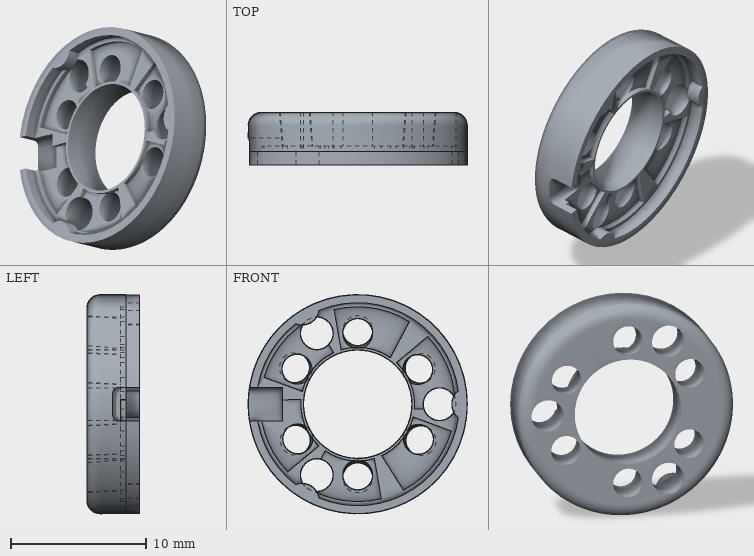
import cadquery as cq
import math

outer_radius = 8.1
bore_radius = 4.0
total_depth = 3.9
rim_depth = 1.0
back_fillet = 1.0

rim_inner_radius = 7.5
lobe_radius = 1.25
lobe_center_radius = 8.2
lobe_angles = [0, 120, 240]

pocket_depth = 0.4
pocket_floor = rim_depth + pocket_depth
pocket_inner_radius = 4.2
pocket_outer_radius = 7.2
pocket_count = 6
pocket_mid_angle = 21
pocket_inner_half_angle = 26
pocket_outer_half_angle = 23

lobe_hole_diameter = 2.4
lobe_hole_center_radius = 6.05

slanted_hole_diameter = 2.2
slanted_hole_lean = 5
slanted_hole_center_radii = {30: 5.11, 90: 5.22, 150: 5.18}

slot_width = 2.5
slot_depth = 2.0
slot_corner_radius = 0.5
slot_end_radius = 5.57

clearance = 1.0


def front_plane(y):
    """Workplane at depth y with local x along X and local y along Z."""
    return cq.Workplane("XZ", origin=(0, y, 0))


def polar(radius, angle):
    """Point at a radius and an angle (degrees) measured from +X towards +Z."""
    return (radius * math.cos(math.radians(angle)), radius * math.sin(math.radians(angle)))


def disc(radius, start, end):
    """Solid cylinder on the Y axis between two depths."""
    return front_plane(start).circle(radius).extrude(start - end)


def make_slot():
    """Slot cutter with two rounded edges along its floor."""
    length = outer_radius + clearance - slot_end_radius
    depth = slot_depth + clearance
    block = cq.Workplane("XY").box(length, depth, slot_width)
    block = block.edges("|X and >Y").fillet(slot_corner_radius)
    return block.translate((-slot_end_radius - length / 2, slot_depth - depth / 2, 0))


def make_pocket(mid_angle):
    """Sector pocket cutter that spans a wider angle at its inner edge than at its outer edge."""
    inner_start = polar(pocket_inner_radius, mid_angle - pocket_inner_half_angle)
    inner_mid = polar(pocket_inner_radius, mid_angle)
    inner_end = polar(pocket_inner_radius, mid_angle + pocket_inner_half_angle)
    outer_start = polar(pocket_outer_radius, mid_angle - pocket_outer_half_angle)
    outer_mid = polar(pocket_outer_radius, mid_angle)
    outer_end = polar(pocket_outer_radius, mid_angle + pocket_outer_half_angle)
    outline = (
        front_plane(rim_depth)
        .moveTo(*inner_start)
        .lineTo(*outer_start)
        .threePointArc(outer_mid, outer_end)
        .lineTo(*inner_end)
        .threePointArc(inner_mid, inner_start)
        .close()
    )
    return outline.extrude(-pocket_depth)


def make_slanted_hole(center_radius, angle):
    """Leaning hole cutter that starts at the pocket floor, beneath the lip around the bore."""
    lean = math.radians(slanted_hole_lean)
    axis = cq.Vector(math.sin(lean), math.cos(lean), 0)
    floor_center = cq.Vector(center_radius, pocket_floor, 0)
    drill = cq.Solid.makeCylinder(
        slanted_hole_diameter / 2,
        total_depth + 2 * clearance,
        floor_center - axis * clearance,
        axis,
    )
    below_floor = disc(outer_radius, pocket_floor, total_depth + clearance)
    return below_floor.intersect(cq.Workplane(drill)).rotate((0, 0, 0), (0, 1, 0), -angle)


def make_rim():
    """Front ring with three rounded lobes and the slot gap."""
    envelope = disc(outer_radius, 0, rim_depth)
    rim = envelope.cut(disc(rim_inner_radius, 0, rim_depth))
    for angle in lobe_angles:
        center = polar(lobe_center_radius, angle)
        lobe = front_plane(0).center(*center).circle(lobe_radius).extrude(-rim_depth)
        rim = rim.union(lobe.intersect(envelope))
    return rim.cut(make_slot())


def make_housing():
    """Thick annular body with a rounded back, pockets, holes and the slot."""
    housing = disc(outer_radius, rim_depth, total_depth).faces(">Y").edges().fillet(back_fillet)
    housing = housing.cut(disc(bore_radius, rim_depth, total_depth))
    for index in range(pocket_count):
        housing = housing.cut(make_pocket(pocket_mid_angle + index * 360 / pocket_count))
    for angle in lobe_angles:
        center = polar(lobe_hole_center_radius, angle)
        hole = front_plane(rim_depth).center(*center).circle(lobe_hole_diameter / 2)
        housing = housing.cut(hole.extrude(-total_depth))
    for angle, center_radius in slanted_hole_center_radii.items():
        housing = housing.cut(make_slanted_hole(center_radius, angle))
        housing = housing.cut(make_slanted_hole(center_radius, angle + 180))
    return housing.cut(make_slot())


rim = make_rim()
housing = make_housing()

result = cq.Compound.makeCompound([rim.solids().val(), housing.solids().val()])